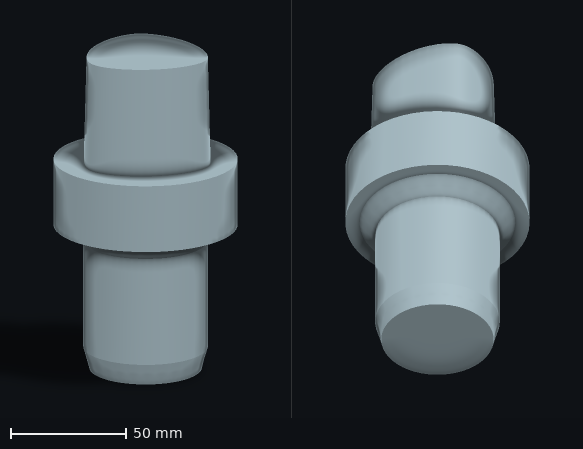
import cadquery as cq
import math

total_height = 143.0
flange_top = 95.0
flange_bottom = 65.0
shank_top = 57.9
tip_height = 9.7

flange_diameter = 80.0
collar_diameter = 67.5
shank_diameter = 54.0
tip_diameter = 48.8

lobed_base_width = 55.0
lobed_top_width = 52.6
lobe_height = 2.0
lobe_count = 3
lobe_direction = -math.pi / 2
points_per_outline = 48


def turned_body():
    """Flange, conical collar, cylindrical shank and tapered tip."""
    return (
        cq.Workplane("XZ")
        .moveTo(0, 0)
        .lineTo(tip_diameter / 2, 0)
        .lineTo(shank_diameter / 2, tip_height)
        .lineTo(shank_diameter / 2, shank_top)
        .lineTo(collar_diameter / 2, flange_bottom)
        .lineTo(flange_diameter / 2, flange_bottom)
        .lineTo(flange_diameter / 2, flange_top)
        .lineTo(0, flange_top)
        .close()
        .revolve(360, (0, 0, 0), (0, 1, 0))
    )


def lobed_point(width, angle):
    """Point of a constant-width outline where its outward normal has the given angle."""
    phase = lobe_count * (angle - lobe_direction)
    reach = width / 2 + lobe_height * math.cos(phase)
    slide = -lobe_count * lobe_height * math.sin(phase)
    x = reach * math.cos(angle) - slide * math.sin(angle)
    y = reach * math.sin(angle) + slide * math.cos(angle)
    return x, y


def lobed_outline(width, height):
    """Closed smooth three-lobed wire at the given height."""
    step = 2 * math.pi / points_per_outline
    points = [
        cq.Vector(*lobed_point(width, lobe_direction + i * step), height)
        for i in range(points_per_outline)
    ]
    return cq.Wire.assembleEdges([cq.Edge.makeSpline(points, periodic=True)])


def lobed_shank():
    """Tapered shank blending from the base outline to the top outline."""
    base = lobed_outline(lobed_base_width, flange_top)
    top = lobed_outline(lobed_top_width, total_height)
    return cq.Workplane(obj=cq.Solid.makeLoft([base, top], True))


result = turned_body().union(lobed_shank())